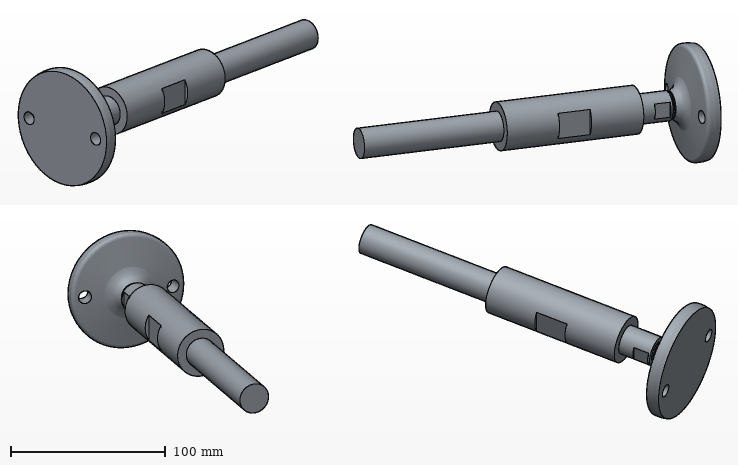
import cadquery as cq
import math


total_length = 237.0
rod_radius = 20.0 / 2
rod_start = 22.3
rod_flat_half_width = 8.5
rod_flat_start = 23.7
rod_flat_end = 34.5

neck_radius = 7.0
socket_bottom = 14.2

sleeve_radius = 32.0 / 2
sleeve_start = 45.0
sleeve_end = 140.0
sleeve_flat_half_width = 13.5
sleeve_flat_length = 22.3

foot_radius = 78.0 / 2
foot_bottom_radius = 38.5
foot_rim_start = 3.5
foot_rim_end = 9.2
foot_shoulder_fillet = 2.4
collar_base_radius = 14.2
collar_base_height = 13.0
collar_fillet = 8.3
collar_top_radius = 9.0
collar_lip_start = 20.0
collar_top = 20.6

hole_diameter = 8.5
hole_offset = 29.0
hole_tool_reach = 23.7


def cylinder_along_y(radius, start, end):
    """Cylinder on the Y axis between two Y positions."""
    return cq.Workplane("XZ", origin=(0, start, 0)).circle(radius).extrude(start - end)


def cut_side_flats(body, radius, half_width, start, end):
    """Mill a flat on the -X and +X sides of a cylindrical body."""
    depth = radius - half_width
    for side in (-1, 1):
        cutter = cq.Workplane("XY").box(2 * depth, end - start, 2 * radius)
        body = body.cut(cutter.translate((side * (half_width + depth), (start + end) / 2, 0)))
    return body


def fillet_ring(body, height, radius):
    """Round the circular edge whose centre lies on the Y axis at the given height."""
    ring = cq.selectors.NearestToPointSelector((0, height, 0))
    return body.edges(ring).fillet(radius)


def make_rod():
    """Straight rod with a slim neck and a pair of wrench flats."""
    rod = cylinder_along_y(rod_radius, rod_start, total_length)
    rod = rod.union(cylinder_along_y(neck_radius, socket_bottom, rod_start))
    return cut_side_flats(rod, rod_radius, rod_flat_half_width, rod_flat_start, rod_flat_end)


def make_sleeve():
    """Sleeve bored to fit the rod, with wrench flats at mid length."""
    sleeve = cylinder_along_y(sleeve_radius, sleeve_start, sleeve_end)
    sleeve = sleeve.cut(cylinder_along_y(rod_radius, sleeve_start, sleeve_end))
    middle = (sleeve_start + sleeve_end) / 2
    flat_start = middle - sleeve_flat_length / 2
    flat_end = middle + sleeve_flat_length / 2
    return cut_side_flats(sleeve, sleeve_radius, sleeve_flat_half_width, flat_start, flat_end)


def make_foot():
    """Round foot with a conical top and collar, a neck socket and two mounting holes."""
    foot = (
        cq.Workplane("XY")
        .lineTo(foot_bottom_radius, 0)
        .lineTo(foot_radius, foot_rim_start)
        .lineTo(foot_radius, foot_rim_end)
        .lineTo(collar_base_radius, collar_base_height)
        .lineTo(collar_top_radius, collar_lip_start)
        .lineTo(collar_top_radius, collar_top)
        .lineTo(0, collar_top)
        .close()
        .revolve(360, (0, 0, 0), (0, 1, 0))
    )
    foot = fillet_ring(foot, foot_rim_end, foot_shoulder_fillet)
    foot = fillet_ring(foot, collar_base_height, collar_fillet)
    foot = foot.cut(cylinder_along_y(neck_radius, socket_bottom, collar_top))

    slope = math.atan2(collar_base_height - foot_rim_end, foot_radius - collar_base_radius)
    for side in (-1, 1):
        axis = cq.Vector(side * math.sin(slope), math.cos(slope), 0)
        centre = cq.Vector(side * hole_offset, 0, 0)
        start = centre - axis * (hole_tool_reach / 2)
        hole = cq.Solid.makeCylinder(hole_diameter / 2, hole_tool_reach, start, axis)
        foot = foot.cut(cq.Workplane(hole))
    return foot


rod = make_rod()
sleeve = make_sleeve()
foot = make_foot()

result = cq.Compound.makeCompound([rod.val(), sleeve.val(), foot.val()])